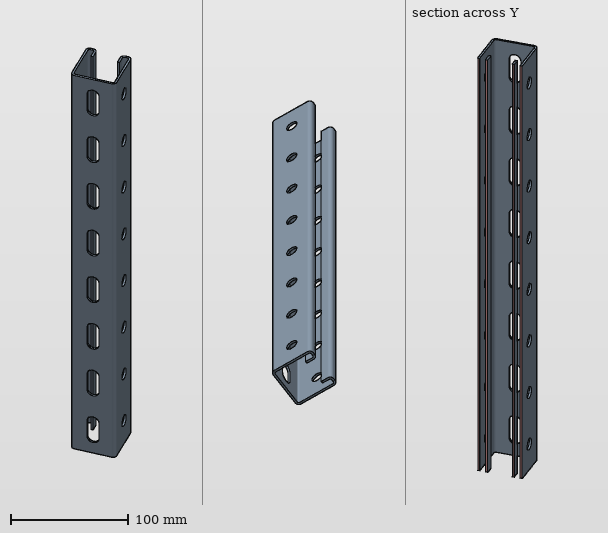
import cadquery as cq
import math

length = 400.0
width = 41.0
depth = 41.0
wall = 2.0
bend_radius = 3.5
mouth = 22.0
lip_depth = 10.5

hole_count = 8
pitch = length / hole_count
slot_length = 27.0
slot_width = 11.0
hole_diameter = 10.5
hole_offset = 1.0

half_width = width / 2
half_depth = depth / 2
half_mouth = mouth / 2
inner_radius = bend_radius - wall
pitch_centers = [(index + 0.5) * pitch for index in range(hole_count)]


def box(x_min, x_max, y_min, y_max):
    """Full-length bar over the given X and Y ranges."""
    bar = cq.Workplane("XY").box(x_max - x_min, y_max - y_min, length, centered=False)
    return bar.translate((x_min, y_min, 0))


def rounded_bar(x_min, x_max, y_min, y_max, radius):
    """Full-length bar with its four upright edges rounded."""
    return box(x_min, x_max, y_min, y_max).edges("|Z").fillet(radius)


def channel():
    """Bent sheet: back, two sides and two lips of constant thickness."""
    body = rounded_bar(-half_width, half_width, -half_depth, half_depth, bend_radius)
    inner_x = half_width - wall
    inner_y = half_depth - wall
    body = body.cut(rounded_bar(-inner_x, inner_x, -inner_y, inner_y, inner_radius))
    body = body.cut(box(bend_radius - half_width, half_width - bend_radius, 0, half_depth))
    for side in (-1, 1):
        body = body.union(lip(side))
    return body


def lip(side):
    """Hook running from a side bend across the open face and back inwards."""
    top = half_depth
    lip_end = top - lip_depth
    bend_start = half_width - bend_radius
    outer_diagonal = bend_radius * math.sin(math.pi / 4)
    inner_diagonal = inner_radius * math.sin(math.pi / 4)
    center_x = half_mouth + bend_radius
    center_y = top - bend_radius
    return (
        cq.Workplane("XY")
        .moveTo(side * bend_start, top)
        .lineTo(side * center_x, top)
        .threePointArc(
            (side * (center_x - outer_diagonal), center_y + outer_diagonal),
            (side * half_mouth, center_y),
        )
        .lineTo(side * half_mouth, lip_end)
        .lineTo(side * (half_mouth + wall), lip_end)
        .lineTo(side * (half_mouth + wall), center_y)
        .threePointArc(
            (side * (center_x - inner_diagonal), center_y + inner_diagonal),
            (side * center_x, top - wall),
        )
        .lineTo(side * bend_start, top - wall)
        .close()
        .extrude(length)
    )


def back_slots():
    """Lengthwise slots through the back."""
    return (
        cq.Workplane("XZ")
        .pushPoints([(0, z) for z in pitch_centers])
        .slot2D(slot_length, slot_width, 90)
        .extrude(depth)
    )


def side_holes():
    """Round holes through both sides."""
    return (
        cq.Workplane("YZ")
        .pushPoints([(hole_offset, z) for z in pitch_centers])
        .circle(hole_diameter / 2)
        .extrude(width, both=True)
    )


result = channel().cut(back_slots()).cut(side_holes())